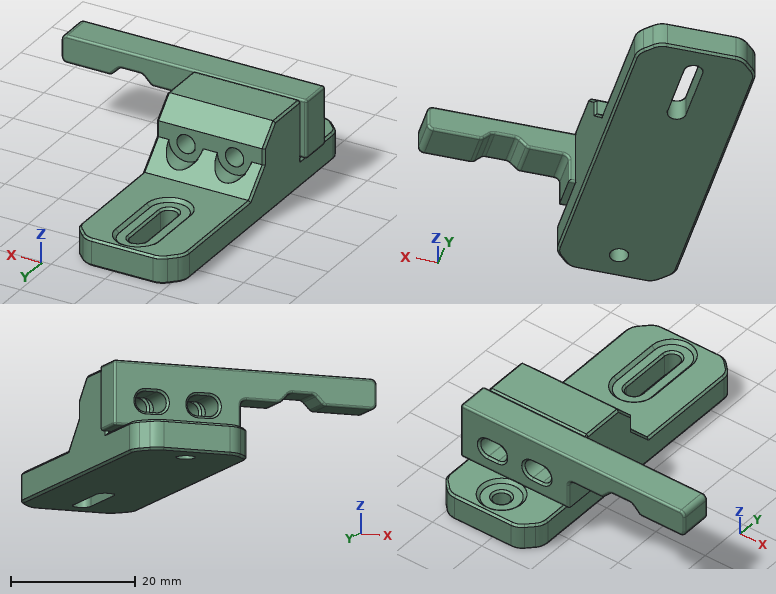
import cadquery as cq

BASE_WIDTH = 20.0
BASE_LENGTH = 54.9
BASE_THICKNESS = 5.0
TOTAL_HEIGHT = 15.85
CORNER_CUT = 3.0
CORNER_RADIUS = 3.0
EDGE_CHAMFER = 0.4

BLOCK_FRONT = 14.5
BLOCK_BACK = 26.45
BLOCK_TOP_BEVEL = 3.5
BLOCK_FOOT_BEVEL = 4.45

SEAT_INSET = 5.0
SLOT_TRAVEL = 10.0
SCREW_HOLE_DIAMETER = 3.1
SEAT_DIAMETER = 6.95
SEAT_DEPTH = 0.6

CLAMP_SPACING = 9.0
CLAMP_HEIGHT = 9.45
CLAMP_HOLE_DIAMETER = 3.4
CLAMP_SLOT_TRAVEL = 2.0
CLAMP_HEAD_DIAMETER = 6.35

ARM_LENGTH = 45.5
ARM_DEPTH = 6.0
ARM_OVERHANG = 1.0
ARM_BACK_GAP = 0.05
ARM_UNDER_GAP = 0.2
ARM_TIP_HEIGHT = 5.0
ARM_RADIUS = 1.0
ARM_EDGE_RADIUS = 0.4

NOTCH_CENTER = 21.65
NOTCH_DEPTH = 1.7
NOTCH_FLOOR_WIDTH = 4.15

HALF_WIDTH = BASE_WIDTH / 2
ARM_LEFT = -HALF_WIDTH - ARM_OVERHANG
ARM_RIGHT = ARM_LEFT + ARM_LENGTH
ARM_STEP = HALF_WIDTH + ARM_OVERHANG
ARM_BOTTOM = BASE_THICKNESS + ARM_UNDER_GAP
ARM_UNDERSIDE = TOTAL_HEIGHT - ARM_TIP_HEIGHT
ARM_BACK = BLOCK_FRONT - ARM_BACK_GAP
ARM_FRONT = ARM_BACK - ARM_DEPTH
CLAMP_POSITIONS = [-CLAMP_SPACING / 2, CLAMP_SPACING / 2]
FLARE_ANGLE = 45
TOLERANCE = 0.005


def near(value, target):
    return abs(value - target) < TOLERANCE


def stadium(plane, travel, diameter):
    """Outline of a slot, or of a circle when the travel is zero, along the plane's local X."""
    if travel == 0:
        return plane.circle(diameter / 2)
    return plane.slot2D(travel + diameter, diameter)


def slot_cutter(plane, travel, diameter, depth):
    return stadium(plane, travel, diameter).extrude(-depth)


def flared_cutter(plane, travel, diameter, chamfer):
    """45 degree flare that widens the mouth of a slot by the chamfer on every side."""
    return stadium(plane, travel, diameter + 2 * chamfer).extrude(-chamfer, taper=FLARE_ANGLE)


def chamfered_slot(plane, travel, diameter, depth, chamfer):
    straight = slot_cutter(plane, travel, diameter, depth)
    return straight.union(flared_cutter(plane, travel, diameter, chamfer))


def base_blank():
    """Side profile of plate and block, extruded across the width."""
    profile = [
        (0, 0),
        (BASE_LENGTH, 0),
        (BASE_LENGTH, BASE_THICKNESS),
        (BLOCK_BACK + BLOCK_FOOT_BEVEL, BASE_THICKNESS),
        (BLOCK_BACK, BASE_THICKNESS + BLOCK_FOOT_BEVEL),
        (BLOCK_BACK, TOTAL_HEIGHT - BLOCK_TOP_BEVEL),
        (BLOCK_BACK - BLOCK_TOP_BEVEL, TOTAL_HEIGHT),
        (BLOCK_FRONT, TOTAL_HEIGHT),
        (BLOCK_FRONT, BASE_THICKNESS),
        (0, BASE_THICKNESS),
    ]
    return cq.Workplane("YZ").polyline(profile).close().extrude(HALF_WIDTH, both=True)


def is_plate_corner(edge):
    """Upright edge of the plate, running its full thickness."""
    return near(edge.BoundingBox().zlen, BASE_THICKNESS) and near(edge.Center().z, BASE_THICKNESS / 2)


def round_base_corners(base):
    """Cut the four plate corners at 45 degrees and round where the cuts meet the sides."""
    square_corners = [edge for edge in base.edges("|Z").vals() if is_plate_corner(edge)]
    base = base.newObject(square_corners).chamfer(CORNER_CUT)
    cut_corners = [edge for edge in base.edges("|Z").vals() if is_plate_corner(edge)]
    return base.newObject(cut_corners).fillet(CORNER_RADIUS)


def is_base_rim(edge):
    """Edges around the plate and up the block sides, plus the front top edge of the block."""
    center = edge.Center()
    spans_width = near(edge.BoundingBox().xlen, BASE_WIDTH)
    if spans_width:
        return near(center.y, BLOCK_FRONT) and near(center.z, TOTAL_HEIGHT)
    return not is_plate_corner(edge)


def chamfer_base_edges(base):
    rim = [edge for edge in base.edges().vals() if is_base_rim(edge)]
    return base.newObject(rim).chamfer(EDGE_CHAMFER)


def screw_seat(center_y, travel):
    """Flared recess with a vertical hole in its floor, both stretched along Y by the travel."""
    top = cq.Workplane("XY", origin=(0, center_y, BASE_THICKNESS)).transformed(rotate=(0, 0, 90))
    floor = top.workplane(offset=-SEAT_DEPTH)
    seat = flared_cutter(top, travel, SEAT_DIAMETER, SEAT_DEPTH)
    hole = chamfered_slot(floor, travel, SCREW_HOLE_DIAMETER, BASE_THICKNESS, EDGE_CHAMFER)
    return seat.union(hole)


def block_clamp_hole(center_x):
    """Hole through the block along Y, with room for a screw head in the sloping foot."""
    front = cq.Workplane("XZ", origin=(center_x, BLOCK_FRONT, CLAMP_HEIGHT))
    back = cq.Workplane("XZ", origin=(center_x, BLOCK_BACK, CLAMP_HEIGHT))
    hole = slot_cutter(front, 0, CLAMP_HOLE_DIAMETER, BLOCK_BACK - BLOCK_FRONT)
    head = slot_cutter(back, 0, CLAMP_HEAD_DIAMETER, BLOCK_FOOT_BEVEL)
    flare = flared_cutter(front, 0, CLAMP_HOLE_DIAMETER, EDGE_CHAMFER)
    return hole.union(flare).union(head)


def make_base():
    rear_seat_center = BASE_LENGTH - SEAT_INSET - SLOT_TRAVEL / 2
    base = chamfer_base_edges(round_base_corners(base_blank()))
    base = base.cut(screw_seat(SEAT_INSET, 0))
    base = base.cut(screw_seat(rear_seat_center, SLOT_TRAVEL))
    for center_x in CLAMP_POSITIONS:
        base = base.cut(block_clamp_hole(center_x))
    return base


def arm_blank():
    """Front profile of the arm with its corners rounded, extruded along Y."""
    half_floor = NOTCH_FLOOR_WIDTH / 2
    half_mouth = half_floor + NOTCH_DEPTH
    profile = [
        (ARM_LEFT, ARM_BOTTOM),
        (ARM_STEP, ARM_BOTTOM),
        (ARM_STEP, ARM_UNDERSIDE),
        (NOTCH_CENTER - half_mouth, ARM_UNDERSIDE),
        (NOTCH_CENTER - half_floor, ARM_UNDERSIDE + NOTCH_DEPTH),
        (NOTCH_CENTER + half_floor, ARM_UNDERSIDE + NOTCH_DEPTH),
        (NOTCH_CENTER + half_mouth, ARM_UNDERSIDE),
        (ARM_RIGHT, ARM_UNDERSIDE),
        (ARM_RIGHT, TOTAL_HEIGHT),
        (ARM_LEFT, TOTAL_HEIGHT),
    ]
    arm = cq.Workplane("XZ", origin=(0, ARM_FRONT, 0)).polyline(profile).close().extrude(-ARM_DEPTH)

    def is_rounded(edge):
        """The step, notch and tip corners; the corners of the clamped end stay sharp here."""
        center = edge.Center()
        return center.x > ARM_STEP - TOLERANCE and center.z > ARM_BOTTOM + TOLERANCE

    rounded = [edge for edge in arm.edges("|Y").vals() if is_rounded(edge)]
    return arm.newObject(rounded).fillet(ARM_RADIUS)


def arm_clamp_slot(center_x):
    """Slot along X through the arm, with a flared front mouth."""
    front = cq.Workplane("XZ", origin=(center_x, ARM_FRONT, CLAMP_HEIGHT))
    return chamfered_slot(front, CLAMP_SLOT_TRAVEL, CLAMP_HOLE_DIAMETER, ARM_DEPTH, EDGE_CHAMFER)


def make_arm():
    arm = arm_blank()
    arm = arm.faces("<Y or >Y or <X").edges().fillet(ARM_EDGE_RADIUS)
    for center_x in CLAMP_POSITIONS:
        arm = arm.cut(arm_clamp_slot(center_x))
    return arm


base = make_base()
arm = make_arm()

result = cq.Compound.makeCompound([base.val(), arm.val()])